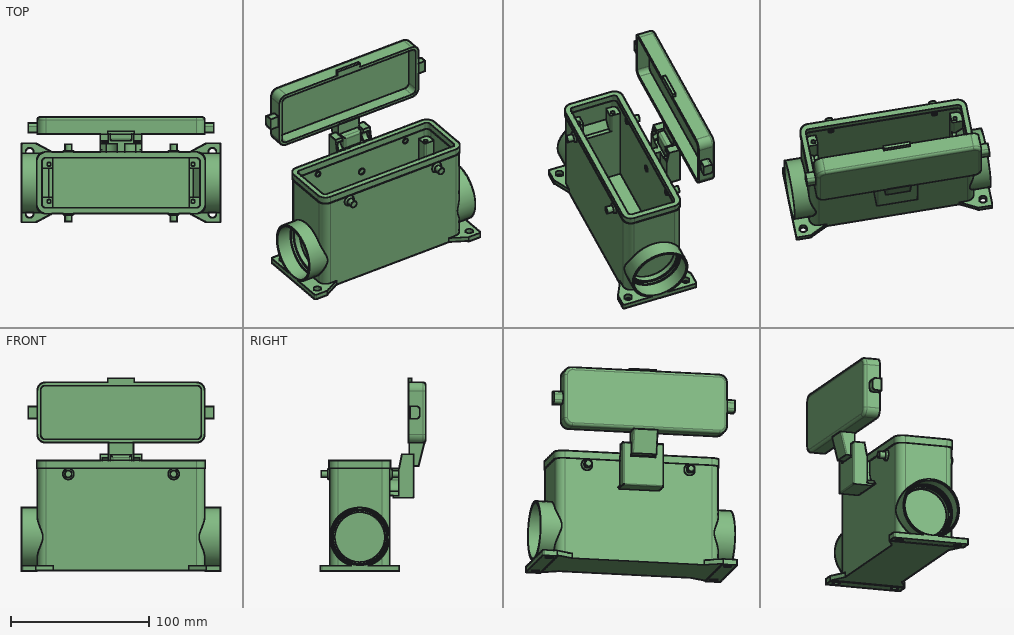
import cadquery as cq
import math

BASE_LIFT = 0.5
RIM_TOP = 80.0
RIM_HEIGHT = 5.5
RIM_BOTTOM = RIM_TOP - RIM_HEIGHT
BODY_LENGTH = 121.0
BODY_WIDTH = 43.6
BODY_RADIUS = 6.0
RIM_STEP = 0.5
OPENING_LENGTH = 114.0
OPENING_WIDTH = 36.0
OPENING_RADIUS = 2.5
CAVITY_STEP = 0.3
CAVITY_RADIUS = 3.5
FLOOR_TOP = 4.0

ENTRY_END = 72.0
ENTRY_Z = 24.6
ENTRY_RADIUS = 21.5
BORE_STEPS = (
    (20.3, 11.0),
    (19.3, 13.0),
    (18.0, 17.5),
)
LEDGE_INNER_X = 49.2
LEDGE_OUTER_X = 52.2
LEDGE_TOP = 51.5

POST_TOP = 68.0
POST_INNER_Y = 10.4
POST_EDGE_RADIUS = 1.2
POST_HOLE_X = 52.0
POST_HOLE_Y = 13.4
POST_HOLE_RADIUS = 1.4
POST_HOLE_DEPTH = 12.0

FOOT_TOP = 4.0
FOOT_HALF_WIDTH = 28.6
FOOT_SHOULDER_X = 61.5
FOOT_TIP_X = 48.8
FOOT_CORNER_RADIUS = 1.0
FOOT_HOLE_X = 66.0
FOOT_HOLE_Y = 22.4
FOOT_HOLE_RADIUS = 2.75

PEG_X = 38.0
PEG_Z = 70.2
PEG_RADIUS = 2.5
PEG_END_Y = 28.0
PEG_COLLAR = 1.5
PEG_RECESS_RADIUS = 2.0
RECESS_DEPTH = 0.6
BRACKET_RECESS_Z = 58.0
BRACKET_RECESS_RADIUS = 2.4

BRACKET_HALF_WIDTH = 15.0
BRACKET_BACK_Y = 39.0
BRACKET_FRONT_Y = 28.3
BRACKET_LIP_Y = 24.0
BRACKET_BOTTOM = 53.0
BRACKET_LIP_TOP = 54.6
BRACKET_TOP = 84.6
EAR_FRONT_Y = 30.3
EAR_SLOPE_BOTTOM = 74.3
BRACKET_EDGE_RADIUS = 0.8
SLOT_HALF_WIDTH = 9.1
SPRING_POCKET_OUTER_X = 13.6
SPRING_POCKET_Y = 29.0
SPRING_POCKET_Z = 78.8
SPRING_POCKET_RADIUS = 3.2
PAD_STEM_HALF_WIDTH = 2.6
PAD_FLARE_RADIUS = 8.2
PAD_FLARE_BOTTOM = 57.8

LID_FRONT_Y = 35.1
LID_BACK_Y = 47.65
LID_BOTTOM = 92.8
LID_HEIGHT = 43.7
LID_Z = LID_BOTTOM + LID_HEIGHT / 2
LID_LENGTH = BODY_LENGTH
LID_RADIUS = 6.0
LID_BACK_RADIUS = 2.2
LID_WALL = 2.4
LID_POCKET_DEPTH = 9.2
TAB_TOP = 139.5
TAB_WIDTH = 19.4
TAB_THICKNESS = 2.3
LUG_END_X = 67.0
LUG_HEIGHT = 8.9
LUG_FRONT_Y = 36.3
LUG_BACK_Y = 43.3
LUG_BACK_RADIUS = 2.4

ARM_FRONT_Y = 35.65
ARM_BACK_TOP_Y = 46.8
ARM_BACK_BOTTOM_Y = 42.5
ARM_BOTTOM = 75.8
ARM_EDGE_RADIUS = 0.8
KNUCKLE_TOP = 84.0
KNUCKLE_FRONT_Y = 30.2
KNUCKLE_HALF_WIDTH = 7.7
KNUCKLE_RADIUS = 1.6


def upright_block(length, width, radius, bottom, top):
    """Block centred on the Z axis with rounded vertical edges."""
    block = cq.Workplane("XY", origin=(0, 0, bottom)).rect(length, width).extrude(top - bottom)
    return block.edges("|Z").fillet(radius)


def box_between(x_range, y_range, z_range):
    """Axis-parallel box given by its (low, high) limits."""
    size = [high - low for low, high in (x_range, y_range, z_range)]
    corner = (x_range[0], y_range[0], z_range[0])
    return cq.Workplane("XY").box(*size, centered=False).translate(corner)


def both_ends(shape):
    """The shape together with its mirror image at the other end of the part."""
    return shape.union(shape.mirror("YZ"))


def both_sides(shape):
    """The shape together with its mirror image on the other long side of the housing."""
    return shape.union(shape.mirror("XZ"))


def cylinder_x(x_start, length, y, z, radius):
    """Cylinder along +X."""
    return cq.Workplane("YZ", origin=(x_start, y, z)).circle(radius).extrude(length)


def cylinder_y(x, y_start, z, length, radius):
    """Cylinder along +Y."""
    return cq.Workplane("XZ", origin=(x, y_start, z)).circle(radius).extrude(-length)


def shell_outside():
    walls = upright_block(BODY_LENGTH, BODY_WIDTH, BODY_RADIUS, BASE_LIFT, RIM_BOTTOM)
    rim_length = BODY_LENGTH + 2 * RIM_STEP
    rim_width = BODY_WIDTH + 2 * RIM_STEP
    rim = upright_block(rim_length, rim_width, BODY_RADIUS + RIM_STEP, RIM_BOTTOM, RIM_TOP)
    return walls.union(rim)


def shell_cavity():
    length = OPENING_LENGTH + 2 * CAVITY_STEP
    width = OPENING_WIDTH + 2 * CAVITY_STEP
    cavity = upright_block(length, width, CAVITY_RADIUS, FLOOR_TOP, RIM_BOTTOM)
    opening = upright_block(OPENING_LENGTH, OPENING_WIDTH, OPENING_RADIUS, RIM_BOTTOM, RIM_TOP)
    return cavity.union(opening)


def entry_walls():
    """Thick end walls inside the housing, their tops sloping up to the outer wall."""
    outer_x = BODY_LENGTH / 2 - BODY_RADIUS / 2
    wall = (
        cq.Workplane("XZ", origin=(0, OPENING_WIDTH / 2 + CAVITY_STEP, 0))
        .moveTo(-outer_x, FLOOR_TOP)
        .lineTo(-LEDGE_INNER_X, FLOOR_TOP)
        .lineTo(-LEDGE_INNER_X, LEDGE_TOP)
        .lineTo(-LEDGE_OUTER_X, LEDGE_TOP)
        .lineTo(-outer_x, LEDGE_TOP + outer_x - LEDGE_OUTER_X)
        .close()
        .extrude(OPENING_WIDTH + 2 * CAVITY_STEP)
    )
    return both_ends(wall)


def corner_posts():
    post = box_between(
        (LEDGE_INNER_X, OPENING_LENGTH / 2 + CAVITY_STEP),
        (POST_INNER_Y, OPENING_WIDTH / 2 + CAVITY_STEP),
        (FLOOR_TOP, POST_TOP),
    )
    post = post.edges("|Z and <X and <Y").fillet(POST_EDGE_RADIUS)
    return both_sides(both_ends(post))


def post_holes():
    hole = (
        cq.Workplane("XY", origin=(POST_HOLE_X, POST_HOLE_Y, POST_TOP))
        .circle(POST_HOLE_RADIUS)
        .extrude(-POST_HOLE_DEPTH)
    )
    return both_sides(both_ends(hole))


def entry_stubs():
    stub = cylinder_x(-ENTRY_END, ENTRY_END - LEDGE_OUTER_X, 0, ENTRY_Z, ENTRY_RADIUS)
    return both_ends(stub)


def entry_bores():
    bores = cq.Workplane("XY")
    for radius, depth in BORE_STEPS:
        bores = bores.union(cylinder_x(-ENTRY_END, depth, 0, ENTRY_Z, radius))
    return both_ends(bores)


def feet():
    """Fixing flanges at both ends, with flanks that run into the side walls."""
    tip_y = BODY_WIDTH / 2
    outline = [
        (-ENTRY_END, -FOOT_HALF_WIDTH),
        (-FOOT_SHOULDER_X, -FOOT_HALF_WIDTH),
        (-FOOT_TIP_X, -tip_y),
        (-FOOT_TIP_X, tip_y),
        (-FOOT_SHOULDER_X, FOOT_HALF_WIDTH),
        (-ENTRY_END, FOOT_HALF_WIDTH),
    ]
    foot = cq.Workplane("XY").polyline(outline).close().extrude(FOOT_TOP)
    foot = foot.edges("|Z and <X").fillet(FOOT_CORNER_RADIUS)
    relief = box_between(
        (-BODY_LENGTH / 2 - RIM_STEP, 0),
        (-FOOT_HALF_WIDTH, FOOT_HALF_WIDTH),
        (0, BASE_LIFT),
    )
    return both_ends(foot.cut(relief))


def foot_screw_holes():
    hole = (
        cq.Workplane("XY")
        .center(FOOT_HOLE_X, FOOT_HOLE_Y)
        .circle(FOOT_HOLE_RADIUS)
        .extrude(FOOT_TOP)
    )
    return both_sides(both_ends(hole))


def locking_pegs():
    """Four pegs with rounded collars, turned about axes along Y."""
    wall_y = BODY_WIDTH / 2
    sunk_y = wall_y - PEG_COLLAR
    arc_mid = PEG_COLLAR * math.sqrt(0.5)
    peg = (
        cq.Workplane("XY")
        .moveTo(0, sunk_y)
        .lineTo(PEG_RADIUS + PEG_COLLAR, sunk_y)
        .lineTo(PEG_RADIUS + PEG_COLLAR, wall_y)
        .threePointArc(
            (PEG_RADIUS + arc_mid, wall_y + arc_mid),
            (PEG_RADIUS, wall_y + PEG_COLLAR),
        )
        .lineTo(PEG_RADIUS, PEG_END_Y)
        .lineTo(0, PEG_END_Y)
        .close()
        .revolve(360, (0, 0, 0), (0, 1, 0))
    )
    return both_sides(both_ends(peg.translate((PEG_X, 0, PEG_Z))))


def wall_recesses():
    """Shallow round recesses inside the walls, behind the pegs and behind the bracket."""
    wall_y = OPENING_WIDTH / 2 + CAVITY_STEP
    behind_peg = cylinder_y(PEG_X, wall_y, PEG_Z, RECESS_DEPTH, PEG_RECESS_RADIUS)
    behind_bracket = cylinder_y(0, wall_y, BRACKET_RECESS_Z, RECESS_DEPTH, BRACKET_RECESS_RADIUS)
    return both_sides(both_ends(behind_peg)).union(behind_bracket)


def bracket_pad():
    """Bell-shaped pad that carries the bracket on the back wall."""
    flare_top = PAD_FLARE_BOTTOM + PAD_FLARE_RADIUS
    flare_end_x = PAD_STEM_HALF_WIDTH + PAD_FLARE_RADIUS
    flare_mid = PAD_FLARE_RADIUS * math.sqrt(0.5)
    half = (
        cq.Workplane("XZ", origin=(0, BRACKET_FRONT_Y, 0))
        .moveTo(0, BRACKET_LIP_TOP)
        .lineTo(0, EAR_SLOPE_BOTTOM)
        .lineTo(PAD_STEM_HALF_WIDTH, EAR_SLOPE_BOTTOM)
        .lineTo(PAD_STEM_HALF_WIDTH, flare_top)
        .threePointArc(
            (flare_end_x - flare_mid, flare_top - flare_mid),
            (flare_end_x, PAD_FLARE_BOTTOM),
        )
        .lineTo(BRACKET_HALF_WIDTH, BRACKET_LIP_TOP)
        .close()
        .extrude(BRACKET_FRONT_Y - BODY_WIDTH / 2 + RIM_STEP)
    )
    return both_ends(half)


def hinge_bracket():
    """Bracket on the back wall whose two ears hold the lid arm."""
    bracket = (
        cq.Workplane("YZ", origin=(-BRACKET_HALF_WIDTH, 0, 0))
        .moveTo(BRACKET_BACK_Y, BRACKET_BOTTOM)
        .lineTo(BRACKET_LIP_Y, BRACKET_BOTTOM)
        .lineTo(BRACKET_LIP_Y, BRACKET_LIP_TOP)
        .lineTo(BRACKET_FRONT_Y, BRACKET_LIP_TOP)
        .lineTo(BRACKET_FRONT_Y, EAR_SLOPE_BOTTOM)
        .lineTo(EAR_FRONT_Y, BRACKET_TOP)
        .lineTo(BRACKET_BACK_Y, BRACKET_TOP)
        .close()
        .extrude(2 * BRACKET_HALF_WIDTH)
    )
    bracket = bracket.faces(">Y").edges().fillet(BRACKET_EDGE_RADIUS)
    slot = box_between(
        (-SLOT_HALF_WIDTH, SLOT_HALF_WIDTH),
        (BRACKET_LIP_Y, BRACKET_BACK_Y),
        (EAR_SLOPE_BOTTOM, BRACKET_TOP),
    )
    spring_pocket = cylinder_x(
        SLOT_HALF_WIDTH,
        SPRING_POCKET_OUTER_X - SLOT_HALF_WIDTH,
        SPRING_POCKET_Y,
        SPRING_POCKET_Z,
        SPRING_POCKET_RADIUS,
    )
    return bracket.cut(slot).cut(both_ends(spring_pocket)).union(bracket_pad())


def make_housing():
    housing = shell_outside().union(feet()).union(entry_stubs())
    housing = housing.cut(shell_cavity().cut(entry_walls()).cut(corner_posts()))
    housing = housing.cut(post_holes()).cut(entry_bores()).cut(foot_screw_holes())
    housing = housing.union(locking_pegs()).union(hinge_bracket())
    return housing.cut(wall_recesses())


def lid_tray():
    """Shallow tray standing upright, open towards the front."""
    depth = LID_BACK_Y - LID_FRONT_Y
    front = cq.Workplane("XZ", origin=(0, LID_FRONT_Y, LID_Z))
    tray = front.rect(LID_LENGTH, LID_HEIGHT).extrude(-depth)
    tray = tray.edges("|Y").fillet(LID_RADIUS)
    tray = tray.faces(">Y").edges().fillet(LID_BACK_RADIUS)
    pocket = (
        front.rect(LID_LENGTH - 2 * LID_WALL, LID_HEIGHT - 2 * LID_WALL)
        .extrude(-LID_POCKET_DEPTH)
        .edges("|Y")
        .fillet(LID_RADIUS - LID_WALL)
    )
    return tray.cut(pocket)


def lid_tab():
    """Finger tab at the top of the lid."""
    return box_between(
        (-TAB_WIDTH / 2, TAB_WIDTH / 2),
        (LID_FRONT_Y, LID_FRONT_Y + TAB_THICKNESS),
        (LID_BOTTOM + LID_HEIGHT - LID_WALL, TAB_TOP),
    )


def lid_lugs():
    """Latch lugs at both ends of the lid, rounded at the back."""
    lug = box_between(
        (LID_LENGTH / 2 - LID_WALL, LUG_END_X),
        (LUG_FRONT_Y, LUG_BACK_Y),
        (LID_Z - LUG_HEIGHT / 2, LID_Z + LUG_HEIGHT / 2),
    )
    return both_ends(lug.edges("|X and >Y").fillet(LUG_BACK_RADIUS))


def lid_arm():
    """Tapered arm below the lid with a knuckle between the bracket ears."""
    arm = (
        cq.Workplane("YZ", origin=(-SLOT_HALF_WIDTH, 0, 0))
        .moveTo(ARM_FRONT_Y, LID_BOTTOM)
        .lineTo(ARM_FRONT_Y, ARM_BOTTOM)
        .lineTo(ARM_BACK_BOTTOM_Y, ARM_BOTTOM)
        .lineTo(ARM_BACK_TOP_Y, LID_BOTTOM)
        .lineTo(ARM_BACK_TOP_Y - LID_BACK_RADIUS, LID_BOTTOM + LID_WALL)
        .lineTo(ARM_FRONT_Y, LID_BOTTOM + LID_WALL)
        .close()
        .extrude(2 * SLOT_HALF_WIDTH)
    )
    back_y = (ARM_BACK_TOP_Y + ARM_BACK_BOTTOM_Y) / 2
    back_z = (LID_BOTTOM + ARM_BOTTOM) / 2
    back = cq.NearestToPointSelector((0, back_y, back_z))
    arm = arm.faces(back).edges("not |X").fillet(ARM_EDGE_RADIUS)
    knuckle = box_between(
        (-KNUCKLE_HALF_WIDTH, KNUCKLE_HALF_WIDTH),
        (KNUCKLE_FRONT_Y, ARM_FRONT_Y),
        (EAR_SLOPE_BOTTOM, KNUCKLE_TOP),
    )
    knuckle = knuckle.edges("<Y and (not <Z)").fillet(KNUCKLE_RADIUS)
    return arm.union(knuckle)


def make_lid():
    return lid_tray().union(lid_tab()).union(lid_lugs()).union(lid_arm())


housing = make_housing()
lid = make_lid()

result = cq.Compound.makeCompound([housing.val(), lid.val()])